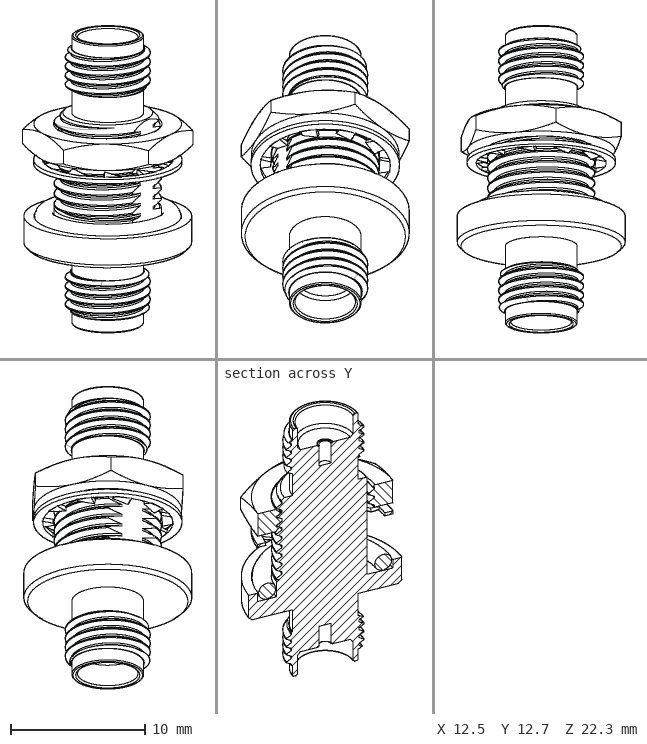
import cadquery as cq
import math


length = 22.3
neck_radius = 2.68
flange_diameter = 12.5
flange_bottom = 6.0
flange_top = 8.32
flange_chamfer = 0.3
stud_top = length - flange_bottom
stud_chamfer = 0.65
stud_flat_x = 3.41

stud_radius = 4.0
stud_pitch = 0.794
stud_thread_bottom = 8.96
stud_crest_z = length / 2

end_radius = 3.17
end_pitch = 0.705
end_thread_length = 3.05
end_thread_inset = 1.0
end_crest_z = 19.47
end_chamfer_radius = 2.72

rim_chamfer = 0.1
socket_radius = 2.25
socket_mouth_chamfer = 0.13
socket_depth = 2.05
socket_cone_height = 0.27
socket_floor_radius = 2.03
contact_radius = 0.6
contact_recess = 0.1
contact_bore_radius = 0.47
contact_bore_depth = 1.78

flank_slope = math.tan(math.radians(30))
crest_fraction = 1 / 8
root_fraction = 1 / 5
groove_overrun = 0.05
chamfer_reach = 0.9

oring_tube_radius = 0.71
oring_center_radius = 4.73
groove_outer_radius = 5.49
groove_depth = 0.75

nut_across_flats = 11.0
nut_bottom = 13.38
nut_top = 15.43
nut_countersink_radius = 4.04
nut_chamfer_slope = math.tan(math.radians(30))

washer_radius = 5.53
washer_inner_radius = 4.85
washer_bottom = 12.38
washer_thickness = 0.31
tooth_count = 10
tooth_width = 1.25
tooth_tip_radius = 4.04
tooth_twist = 17.0
tooth_root_overlap = 0.11
tooth_root_thickness = 0.27


def revolved(points):
    """Turn an (r, z) outline about Z, with the seam on the -X side."""
    return cq.Workplane("XZ").polyline([(-r, z) for r, z in points]).close().revolve(
        360, (0, 0), (0, 1)
    )


def thread_groove(radius, pitch, crest_z, bottom, top):
    """Solid of a right-handed helical groove that runs past bottom and top.

    It leaves a crest at height crest_z on the +X side.
    """
    crest_flat = crest_fraction * pitch
    root_flat = root_fraction * pitch
    depth = (pitch - crest_flat - root_flat) / 2 / flank_slope
    outer_half_width = (pitch - crest_flat) / 2 + groove_overrun * flank_slope
    start_z = crest_z + (math.floor((bottom - crest_z) / pitch) - 0.5) * pitch
    height = (math.ceil((top - start_z) / pitch) + 1) * pitch
    corners = [
        (radius - depth, start_z - root_flat / 2),
        (radius + groove_overrun, start_z - outer_half_width),
        (radius + groove_overrun, start_z + outer_half_width),
        (radius - depth, start_z + root_flat / 2),
    ]

    helices = [
        cq.Wire.makeHelix(pitch, height, r, center=cq.Vector(0, 0, z)).Edges()[0]
        for r, z in corners
    ]
    sides = [
        cq.Face.makeRuledSurface(helix, helices[(index + 1) % len(helices)])
        for index, helix in enumerate(helices)
    ]
    ends = []
    for rise in (0, height):
        outline = cq.Wire.makePolygon([cq.Vector(r, 0, z + rise) for r, z in corners], close=True)
        ends.append(cq.Face.makeFromWires(outline))
    shell = cq.Shell.makeShell(sides + ends)
    return cq.Workplane(cq.Solid.makeSolid(shell).fix())


def thread_rod(radius, pitch, crest_z, bottom, top):
    """Cylinder from bottom to top with the thread cut into it."""
    cylinder = cq.Workplane("XY").circle(radius).extrude(top - bottom).translate((0, 0, bottom))
    return cylinder.cut(thread_groove(radius, pitch, crest_z, bottom, top))


def chamfer_ring(edge_radius, edge_z, slope):
    """Ring outside a cone through the given circle; slope is the cone's rise per unit of radius."""
    outer_radius = edge_radius + chamfer_reach
    return revolved(
        [
            (edge_radius, edge_z),
            (outer_radius, edge_z),
            (outer_radius, edge_z + slope * chamfer_reach),
        ]
    )


def make_stud_rod():
    """Full stud thread; it shapes the stud and the thread inside the nut alike."""
    return thread_rod(stud_radius, stud_pitch, stud_crest_z, stud_thread_bottom, stud_top)


def make_end_thread():
    """Threaded sleeve of the upper connector end, chamfered at 30 degrees at both ends."""
    top = length - end_thread_inset
    bottom = top - end_thread_length
    rod = thread_rod(end_radius, end_pitch, end_crest_z, bottom, top)
    lower_ring = chamfer_ring(end_chamfer_radius, bottom, flank_slope)
    upper_ring = chamfer_ring(end_chamfer_radius, top, -flank_slope)
    return rod.cut(lower_ring).cut(upper_ring)


def make_socket():
    """Cavity of the upper connector end, down to the bore of its center contact."""
    floor = length - socket_depth
    contact_top = floor - contact_recess
    bore_bottom = contact_top - contact_bore_depth
    return revolved(
        [
            (0, length),
            (socket_radius + socket_mouth_chamfer, length),
            (socket_radius, length - socket_mouth_chamfer),
            (socket_radius, floor + socket_cone_height),
            (socket_floor_radius, floor),
            (contact_radius, floor),
            (contact_radius, contact_top),
            (contact_bore_radius, contact_top),
            (contact_bore_radius, bore_bottom),
            (0, bore_bottom),
        ]
    )


def turned_over(shape):
    """Carry a feature of the upper end to the lower end by a half turn about the Y direction."""
    middle = length / 2
    return shape.rotate((0, 0, middle), (0, 1, middle), 180)


def make_stud_flat(bottom):
    """Material beyond the stud flat, from bottom to the stud top, inside the groove's outer wall."""
    height = stud_top - bottom
    surround = cq.Workplane("XY").circle(groove_outer_radius).extrude(height)
    beyond_flat = (
        cq.Workplane("XY")
        .box(groove_outer_radius, 2 * groove_outer_radius, height, centered=(False, True, False))
        .translate((stud_flat_x, 0, 0))
    )
    return surround.intersect(beyond_flat).translate((0, 0, bottom))


def make_housing(stud_rod):
    """Body with its flange, O-ring groove, stud and two connector ends."""
    flange_radius = flange_diameter / 2
    groove_floor = flange_top - groove_depth
    core = revolved(
        [
            (0, 0),
            (neck_radius - rim_chamfer, 0),
            (neck_radius, rim_chamfer),
            (neck_radius, flange_bottom),
            (flange_radius - flange_chamfer, flange_bottom),
            (flange_radius, flange_bottom + flange_chamfer),
            (flange_radius, flange_top),
            (groove_outer_radius, flange_top),
            (groove_outer_radius, groove_floor),
            (stud_radius, groove_floor),
            (stud_radius, stud_thread_bottom),
            (neck_radius, stud_thread_bottom),
            (neck_radius, length - rim_chamfer),
            (neck_radius - rim_chamfer, length),
            (0, length),
        ]
    )
    stud = stud_rod.cut(chamfer_ring(stud_radius - stud_chamfer, stud_top, -1))
    end_thread = make_end_thread()
    socket = make_socket()

    housing = core.union(stud).cut(make_stud_flat(groove_floor))
    housing = housing.union(end_thread).union(turned_over(end_thread))
    return housing.cut(socket).cut(turned_over(socket))


def nut_countersink(face_z, inward):
    """45 degree cone that opens the nut bore at a face; inward is +1 or -1 along Z."""
    return revolved(
        [
            (0, face_z),
            (nut_countersink_radius, face_z),
            (0, face_z + inward * nut_countersink_radius),
        ]
    )


def make_nut(stud_rod):
    """Hexagon nut, chamfered on both faces, whose bore fits the stud thread."""
    flat_radius = nut_across_flats / 2
    corner_radius = flat_radius / math.cos(math.radians(30))
    corner_drop = (corner_radius - flat_radius) * nut_chamfer_slope
    height = nut_top - nut_bottom
    hexagon = (
        cq.Workplane("XY").polygon(6, 2 * corner_radius).extrude(height)
        .rotate((0, 0, 0), (0, 0, 1), 30).translate((0, 0, nut_bottom))
    )
    chamfered_disc = revolved(
        [
            (0, nut_bottom),
            (flat_radius, nut_bottom),
            (corner_radius, nut_bottom + corner_drop),
            (corner_radius, nut_top - corner_drop),
            (flat_radius, nut_top),
            (0, nut_top),
        ]
    )
    nut = hexagon.intersect(chamfered_disc).cut(stud_rod)
    return nut.cut(nut_countersink(nut_top, -1)).cut(nut_countersink(nut_bottom, 1))


def make_washer():
    """Flat ring with twisted teeth that point inward and stop short of the stud."""
    ring = revolved(
        [
            (washer_inner_radius, washer_bottom),
            (washer_radius, washer_bottom),
            (washer_radius, washer_bottom + washer_thickness),
            (washer_inner_radius, washer_bottom + washer_thickness),
        ]
    )
    root_x = washer_inner_radius + tooth_root_overlap
    tooth = (
        cq.Workplane("YZ", origin=(root_x, 0, washer_bottom + washer_thickness / 2))
        .rect(tooth_width, tooth_root_thickness)
        .workplane(offset=tooth_tip_radius - root_x)
        .transformed(rotate=(0, 0, -tooth_twist))
        .rect(tooth_width, washer_thickness)
        .loft(ruled=True)
    )
    tooth_step = 360 / tooth_count
    washer = ring
    for index in range(tooth_count):
        washer = washer.union(tooth.rotate((0, 0, 0), (0, 0, 1), (index + 0.5) * tooth_step))
    return washer


def make_oring():
    """O-ring resting on the floor of the flange groove."""
    center_z = flange_top - groove_depth + oring_tube_radius
    return (
        cq.Workplane("XZ").center(-oring_center_radius, center_z).circle(oring_tube_radius)
        .revolve(360, (oring_center_radius, 0), (oring_center_radius, 1))
    )


stud_rod = make_stud_rod()
housing = make_housing(stud_rod)
nut = make_nut(stud_rod)
lock_washer = make_washer()
oring = make_oring()

bodies = [housing, nut, lock_washer, oring]
result = cq.Compound.makeCompound([body.solids().val() for body in bodies])